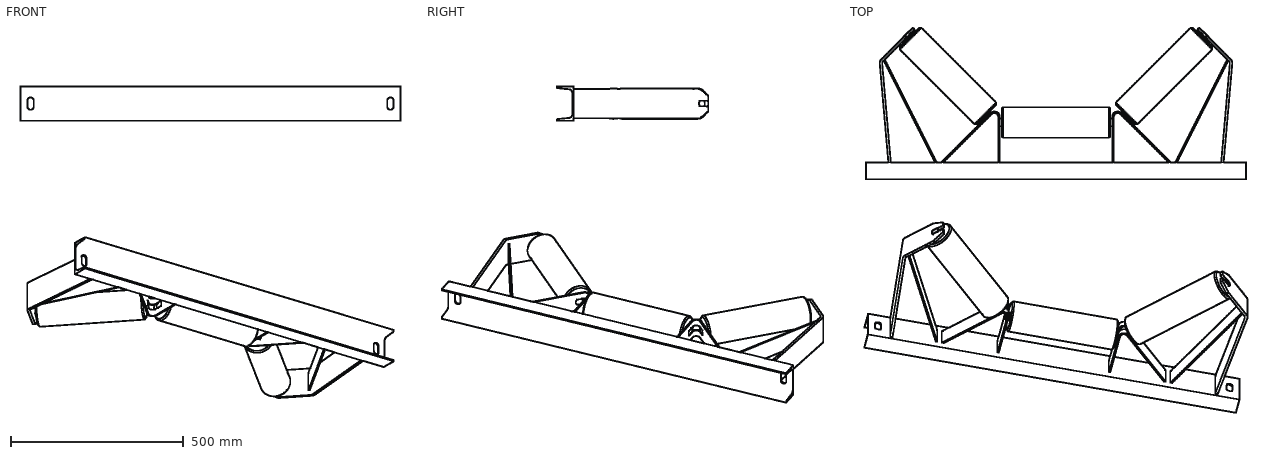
import cadquery as cq
import math


BEAM_LENGTH = 1100.0
BEAM_HEIGHT = 100.0
BEAM_DEPTH = 50.0
WEB_THICKNESS = 4.0
FLANGE_ROOT = 10.0
FLANGE_TIP = 5.0
ROOT_RADIUS = 10.0
TIP_RADIUS = 4.0
MOUNT_SLOT_LENGTH = 35.0
MOUNT_SLOT_WIDTH = 18.0
MOUNT_SLOT_INSET = 30.0

ROLLER_DIAMETER = 89.0
ROLLER_LENGTH = 315.0
ROLLER_CHAMFER = 4.0
SHAFT_DIAMETER = 23.0
SHAFT_FLATS = 16.0
SHAFT_STUB = 1.0
ROLLER_GAP = 5.0
MIDDLE_ROLLER_Y = 115.0
SIDE_ROLLER_X = -312.0
SIDE_ROLLER_Y = 250.0
TROUGH_ANGLE = math.radians(45)

STRAP_THICKNESS = 4.0
STRAP_WIDTH = 55.0
STRAP_FOLD_RADIUS = 15.0

BRACKET_THICKNESS = 8.0
BRACKET_WIDTH = 85.0
BRACKET_BEND_RADIUS = 14.0
BRACKET_BEND_Y = 293.0
BRACKET_FOOT_X = -485.0
BRACKET_TOP_Y = 389.0
BRACKET_TIP_WIDTH = 46.0
BRACKET_TAPER = 33.0

BRACE_THICKNESS = 4.0
BRACE_WIDTH = STRAP_WIDTH
BRACE_FOOT_X = -350.0
BRACE_ABOVE_BEND = 4.0

SUPPORT_FACE = ROLLER_LENGTH / 2 + ROLLER_GAP
STRAP_REACH = SUPPORT_FACE + STRAP_THICKNESS
BRACKET_REACH = SUPPORT_FACE + BRACKET_THICKNESS

MIDDLE_FRAME = cq.Plane(origin=(0, MIDDLE_ROLLER_Y, 0))
SIDE_FRAME = cq.Plane(
    origin=(SIDE_ROLLER_X, SIDE_ROLLER_Y, 0),
    xDir=(math.cos(TROUGH_ANGLE), -math.sin(TROUGH_ANGLE), 0),
    normal=(0, 0, 1),
)


def tilted_point(along, y):
    """X, Y of the point at height y on the face square to the side roller's axis at `along`."""
    foot = SIDE_FRAME.toWorldCoords((along, 0, 0))
    return foot.x + (y - foot.y) * math.tan(TROUGH_ANGLE), y


def meeting_point(along, foot_x, lean):
    """X, Y where that tilted face meets a leg face from (foot_x, 0) that leans by `lean` in X per Y."""
    tilted_foot_x = tilted_point(along, 0)[0]
    y = (foot_x - tilted_foot_x) / (math.tan(TROUGH_ANGLE) - lean)
    return foot_x + lean * y, y


def leg_width_in_x(thickness, lean):
    """Width along X of a leaning bar."""
    return thickness * math.hypot(1, lean)


def across_axis(frame, along):
    """Workplane square to a roller's axis: local x across the axis, local y along Z."""
    origin = frame.toWorldCoords((along, 0, 0))
    return cq.Workplane(cq.Plane(origin=origin, xDir=frame.yDir, normal=frame.xDir))


def round_corner(bar, corner, radius):
    """Round the full-width edge of a bar at an X, Y corner."""
    return bar.edges(cq.selectors.NearestToPointSelector((*corner, 0))).fillet(radius)


def extrude_bar(outline, width):
    return cq.Workplane("XY").polyline(outline).close().extrude(width / 2, both=True)


def make_beam():
    half = BEAM_HEIGHT / 2
    root = (-WEB_THICKNESS, half - FLANGE_ROOT)
    tip = (-BEAM_DEPTH, half - FLANGE_TIP)
    half_profile = [(0, half), (-BEAM_DEPTH, half), tip, root]
    mirrored = [(y, -z) for y, z in reversed(half_profile)]
    beam = (
        cq.Workplane("YZ")
        .polyline(half_profile + mirrored)
        .close()
        .extrude(BEAM_LENGTH / 2, both=True)
    )
    for (y, z), radius in ((root, ROOT_RADIUS), (tip, TIP_RADIUS)):
        for side in (-1, 1):
            edge = cq.selectors.NearestToPointSelector((0, y, side * z))
            beam = beam.edges(edge).fillet(radius)

    slot_x = BEAM_LENGTH / 2 - MOUNT_SLOT_INSET
    mount_slots = (
        cq.Workplane("XZ")
        .pushPoints([(-slot_x, 0), (slot_x, 0)])
        .slot2D(MOUNT_SLOT_LENGTH, MOUNT_SLOT_WIDTH, 90)
        .extrude(WEB_THICKNESS)
    )
    return beam.cut(mount_slots)


def make_roller(frame, left_reach, right_reach):
    """Roller on its shaft; the shaft ends have two flats where they sit in the bars."""
    drum = across_axis(frame, -ROLLER_LENGTH / 2).circle(ROLLER_DIAMETER / 2).extrude(ROLLER_LENGTH)
    drum = drum.edges().chamfer(ROLLER_CHAMFER)
    collar = across_axis(frame, -SUPPORT_FACE).circle(SHAFT_DIAMETER / 2).extrude(2 * SUPPORT_FACE)
    start = across_axis(frame, -left_reach)
    shaft_length = left_reach + right_reach
    flats = start.rect(SHAFT_DIAMETER, SHAFT_FLATS).extrude(shaft_length)
    shaft = start.circle(SHAFT_DIAMETER / 2).extrude(shaft_length).intersect(flats)
    return drum.union(collar).union(shaft)


def shaft_slot(frame, along, depth, length):
    """Cutter for an open slot that fits the shaft flats and its rounded underside."""
    half = SHAFT_FLATS / 2
    radius = SHAFT_DIAMETER / 2
    corner = -math.sqrt(radius**2 - half**2)
    return (
        across_axis(frame, along)
        .moveTo(length, half)
        .lineTo(corner, half)
        .threePointArc((-radius, 0), (corner, -half))
        .lineTo(length, -half)
        .close()
        .extrude(depth)
    )


def make_strap():
    leg_outer_x = -SUPPORT_FACE
    leg_inner_x = -STRAP_REACH
    outer_fold = meeting_point(SUPPORT_FACE, leg_outer_x, 0)
    inner_fold = meeting_point(STRAP_REACH, leg_inner_x, 0)
    outline = [
        (leg_outer_x, 0),
        outer_fold,
        tilted_point(SUPPORT_FACE, 0),
        tilted_point(STRAP_REACH, 0),
        inner_fold,
        (leg_inner_x, 0),
    ]
    strap = extrude_bar(outline, STRAP_WIDTH)
    strap = round_corner(strap, outer_fold, STRAP_FOLD_RADIUS)
    strap = round_corner(strap, inner_fold, STRAP_FOLD_RADIUS - STRAP_THICKNESS)

    past_fold = 2 * STRAP_FOLD_RADIUS
    strap = strap.cut(shaft_slot(SIDE_FRAME, SUPPORT_FACE, past_fold, past_fold))
    return strap.cut(shaft_slot(MIDDLE_FRAME, -STRAP_REACH, STRAP_THICKNESS, past_fold))


def bracket_bends():
    """Outer bend corner, inner bend corner and inner foot X of the outer bracket."""
    outer_bend = tilted_point(-BRACKET_REACH, BRACKET_BEND_Y)
    lean = (outer_bend[0] - BRACKET_FOOT_X) / BRACKET_BEND_Y
    inner_foot_x = BRACKET_FOOT_X + leg_width_in_x(BRACKET_THICKNESS, lean)
    return outer_bend, meeting_point(-SUPPORT_FACE, inner_foot_x, lean), inner_foot_x


def make_bracket():
    outer_bend, inner_bend, inner_foot_x = bracket_bends()
    outer_tip = tilted_point(-BRACKET_REACH, BRACKET_TOP_Y)
    tip = SIDE_FRAME.toLocalCoords(cq.Vector(*outer_tip, 0)).y
    inner_tip = SIDE_FRAME.toWorldCoords((-SUPPORT_FACE, tip, 0)).toTuple()[:2]
    outline = [
        (BRACKET_FOOT_X, 0),
        outer_bend,
        outer_tip,
        inner_tip,
        inner_bend,
        (inner_foot_x, 0),
    ]
    bracket = extrude_bar(outline, BRACKET_WIDTH)
    bracket = round_corner(bracket, outer_bend, BRACKET_BEND_RADIUS)
    bracket = round_corner(bracket, inner_bend, BRACKET_BEND_RADIUS - BRACKET_THICKNESS)

    for side in (-1, 1):
        edge = side * BRACKET_WIDTH / 2
        taper = [(tip - BRACKET_TAPER, edge), (tip, edge), (tip, side * BRACKET_TIP_WIDTH / 2)]
        plane = across_axis(SIDE_FRAME, -BRACKET_REACH)
        bracket = bracket.cut(plane.polyline(taper).close().extrude(BRACKET_THICKNESS))

    return bracket.cut(shaft_slot(SIDE_FRAME, -BRACKET_REACH, BRACKET_THICKNESS, tip))


def make_brace():
    inner_bend = bracket_bends()[1]
    lower_top = tilted_point(-SUPPORT_FACE, inner_bend[1] + BRACE_ABOVE_BEND)
    lean = (lower_top[0] - BRACE_FOOT_X) / lower_top[1]
    upper_foot_x = BRACE_FOOT_X + leg_width_in_x(BRACE_THICKNESS, lean)
    outline = [
        (BRACE_FOOT_X, 0),
        lower_top,
        meeting_point(-SUPPORT_FACE, upper_foot_x, lean),
        (upper_foot_x, 0),
    ]
    return extrude_bar(outline, BRACE_WIDTH)


beam = make_beam()
middle_roller = make_roller(MIDDLE_FRAME, STRAP_REACH, STRAP_REACH)
left_bodies = [
    make_roller(SIDE_FRAME, BRACKET_REACH + SHAFT_STUB, STRAP_REACH),
    make_strap(),
    make_bracket(),
    make_brace(),
]

bodies = [beam.val(), middle_roller.val()]
for body in left_bodies:
    bodies.append(body.val())
    bodies.append(body.mirror("YZ").val())

result = cq.Compound.makeCompound(bodies)